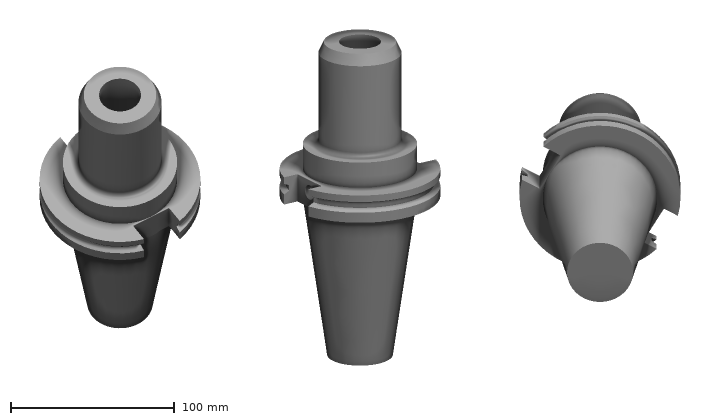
import cadquery as cq

total_height = 203.2
gauge_z = 101.5
flange_bottom_z = 103.2
flange_top_z = 121.0
boss_top_z = 137.2
nose_chamfer_z = 196.3

taper_ratio = 7 / 24
gauge_radius = 35.0
taper_small_radius = gauge_radius - gauge_z * taper_ratio / 2
flange_radius = 49.2
boss_radius = gauge_radius
nose_radius = 25.5
nose_tip_radius = 22.1
nose_fillet = 3.0

groove_floor_radius = 45.5
groove_bottom_z = 109.7
groove_floor_bottom_z = 111.5
groove_floor_top_z = 115.0
groove_top_z = 116.6

slot_width = 26.0
left_slot_floor = 37.5
right_slot_floor = 35.2

bore_radius = 12.8
bore_depth = 61.0
dimple_radius = 4.7
dimple_depth = 6.0
dimple_z = 113.0


def turned_body():
    """Taper, grooved flange, boss and nose revolved about Z."""
    return (
        cq.Workplane("XZ")
        .moveTo(0, 0)
        .lineTo(taper_small_radius, 0)
        .lineTo(gauge_radius, gauge_z)
        .lineTo(gauge_radius, flange_bottom_z)
        .lineTo(flange_radius, flange_bottom_z)
        .lineTo(flange_radius, groove_bottom_z)
        .lineTo(groove_floor_radius, groove_floor_bottom_z)
        .lineTo(groove_floor_radius, groove_floor_top_z)
        .lineTo(flange_radius, groove_top_z)
        .lineTo(flange_radius, flange_top_z)
        .lineTo(boss_radius, flange_top_z)
        .lineTo(boss_radius, boss_top_z)
        .lineTo(nose_radius + nose_fillet, boss_top_z)
        .radiusArc((nose_radius, boss_top_z + nose_fillet), nose_fillet)
        .lineTo(nose_radius, nose_chamfer_z)
        .lineTo(nose_tip_radius, total_height)
        .lineTo(0, total_height)
        .close()
        .revolve(360, (0, 0, 0), (0, 1, 0))
    )


def drive_slot(side, floor_distance):
    """Cutter for a slot through the flange; side is -1 or +1 along X."""
    depth = flange_radius - floor_distance
    return (
        cq.Workplane("XY", origin=(side * (floor_distance + depth / 2), 0, flange_bottom_z))
        .rect(depth, slot_width)
        .extrude(flange_top_z - flange_bottom_z)
    )


def nose_bore():
    """Cutter for the blind bore in the top of the nose."""
    return (
        cq.Workplane("XY", origin=(0, 0, total_height - bore_depth))
        .circle(bore_radius)
        .extrude(bore_depth)
    )


def slot_dimple():
    """Cutter for the blind hole in the floor of the -X slot."""
    return (
        cq.Workplane("YZ", origin=(-left_slot_floor, 0, dimple_z))
        .circle(dimple_radius)
        .extrude(dimple_depth)
    )


result = (
    turned_body()
    .cut(drive_slot(-1, left_slot_floor))
    .cut(drive_slot(1, right_slot_floor))
    .cut(nose_bore())
    .cut(slot_dimple())
)